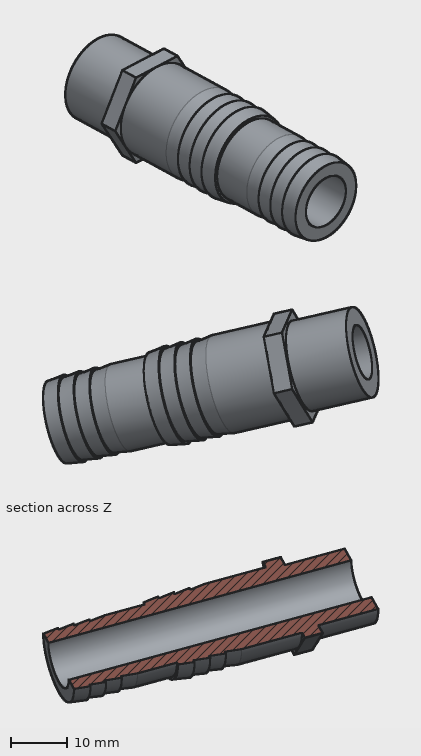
import cadquery as cq
import math

total_length = 58.0
spigot_length = 11.4
hex_length = 3.5
barb_section_length = 12.0
barb_count = 4
barb_pitch = barb_section_length / barb_count
large_barbs_start = 26.45
large_barbs_end = large_barbs_start + barb_section_length
small_barbs_start = total_length - barb_section_length

spigot_diameter = 16.6
hex_across_flats = 18.0
large_diameter = 18.0
large_barb_root_diameter = 17.05
small_diameter = 16.0
small_barb_root_diameter = 15.2
bore_diameter = 10.0


def cylinder(start, end, diameter):
    """Solid cylinder along X between two positions."""
    return cq.Workplane("YZ", origin=(start, 0, 0)).circle(diameter / 2).extrude(end - start)


def barbs(start, crest_diameter, root_diameter):
    """Row of cones, each narrowing toward +X from its crest to its root."""
    profile = [(start, 0)]
    for index in range(barb_count):
        crest_x = start + index * barb_pitch
        profile.append((crest_x, crest_diameter / 2))
        profile.append((crest_x + barb_pitch, root_diameter / 2))
    profile.append((start + barb_section_length, 0))
    return cq.Workplane("XY").polyline(profile).close().revolve(360, (0, 0, 0), (1, 0, 0))


hex_across_corners = hex_across_flats / math.cos(math.radians(30))
hex_end = spigot_length + hex_length
collar = (
    cq.Workplane("YZ", origin=(spigot_length, 0, 0))
    .polygon(6, hex_across_corners)
    .extrude(hex_length)
)

spigot = cylinder(0, spigot_length, spigot_diameter)
large_body = cylinder(hex_end, large_barbs_start, large_diameter)
large_barbs = barbs(large_barbs_start, large_diameter, large_barb_root_diameter)
small_body = cylinder(large_barbs_end, small_barbs_start, small_diameter)
small_barbs = barbs(small_barbs_start, small_diameter, small_barb_root_diameter)

outside = spigot.union(collar).union(large_body).union(large_barbs).union(small_body).union(small_barbs)

result = outside.cut(cylinder(0, total_length, bore_diameter))

result = result.translate((-total_length / 2, 0, 0))